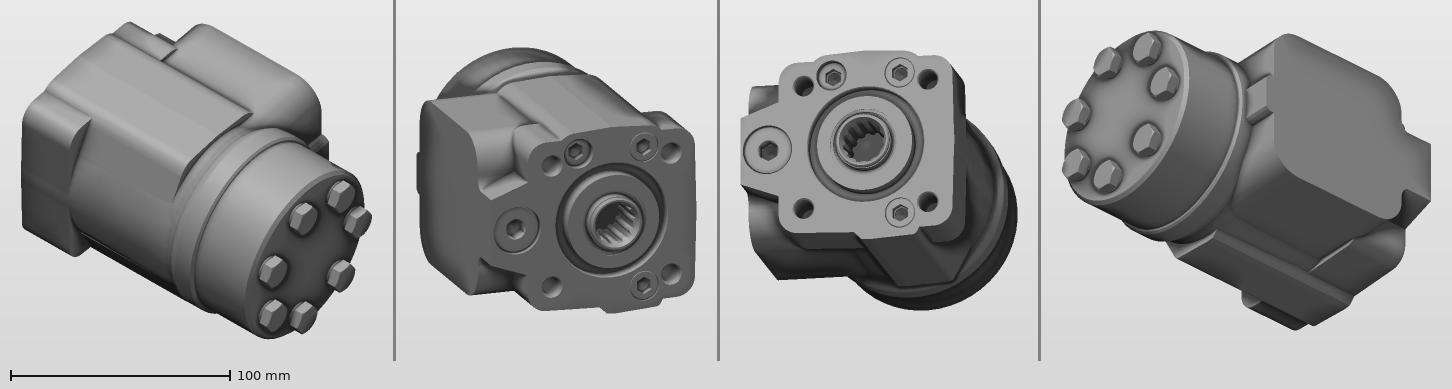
import cadquery as cq
import math

LENGTH = 149.3
RING_FRONT = 5.1
HOUSING_FRONT = 7.6
FLANGE_REAR = 35.8
TOP_PAD_REAR = 90.0
BOTTOM_PAD_REAR = 90.9
NECK_REAR = 94.5
END_FACE = 142.7

BARREL_FRONT_R = 41.3
NECK_R = 42.0
COLLAR_R = 90.0 / 2
STACK_R = 86.0 / 2
END_CHAMFER = 1.6
FLARE_PROFILE = ((NECK_REAR, NECK_R), (97.0, 42.5), (100.6, 44.6), (101.5, COLLAR_R))
COLLAR_BEVEL_FRONT = 110.5
COLLAR_REAR = 111.5
COLLAR_REAR_R = 44.0

OVERALL_Y = 103.5
PORT_FACE_Y = OVERALL_Y - COLLAR_R
BLOCK_FRONT = 25.5
BLOCK_REAR = 103.3
BLOCK_HALF_HEIGHT = 39.0
BLOCK_CORNER_R = 15.0
WEB_TIP_HALF = 15.7
WEB_ROOT_HALF = 22.2
WEB_FILLET_R = 6.0
WEB_FILLET_TOP = 21.0
BOSS_REAR = 107.8
BOSS_UPPER_EDGE = ((NECK_REAR, 10.0), (105.1, 10.0), (106.6, 9.1), (BOSS_REAR, 7.9))

TOP_RIDGE_Z = 44.5
TOP_SLOPE_END = (18.5, 43.3)
TOP_SHOULDER_MID = (23.1, 41.5)
TOP_SHOULDER_END = (26.4, 37.9)
TOP_FLAT_END = (33.6, 24.8)
BOTTOM_FLAT_START = (-32.5, -26.3)
BOTTOM_FLAT_END = (-24.2, -41.6)
BOTTOM_SHOULDER_MID = (-23.1, -43.1)
BOTTOM_SHOULDER_END = (-21.3, -43.7)
BOTTOM_LOW_POINT = (-1.5, -45.0)
BOTTOM_STEP_EDGE = (2.1, -44.6)
BOTTOM_STEP_ROOT = (5.7, -41.0)

FLANGE_LEFT_Y = 40.6
FLANGE_TOP_Z = 40.5
FLANGE_CORNER_R = 9.0
FLANGE_SIDE_Y = 40.5
FLANGE_SIDE_Z = 31.0
FLANGE_BOTTOM_Z = 40.2
FLAT_INNER_Z = 4.3
FLAT_INNER_Y = math.sqrt(BARREL_FRONT_R**2 - FLAT_INNER_Z**2)
FLANGE_LOW_POINT = (6.0, -41.2)

MOUNT_SPACING = 57.9
MOUNT_D = 9.0
MOUNT_RIM_D = 10.3
MOUNT_DEPTH = 17.9
SCREW_SEAT_D = 14.2
SCREW_BEVEL = 0.6
SCREW_SEATS = ((16.0, 33.5, 3.6), (-15.8, 33.1, 0.5), (-16.0, -33.1, 0.5))
SCREW_SOCKET_FLATS = 7.2
SCREW_SOCKET_DEPTH = 3.0
SCREW_DRILL_D = 6.0
SCREW_DRILL_DEPTH = 3.7
PLUG_Y = 45.8
PLUG_SEAT_D = 23.0
PLUG_BEVEL = 0.9
PLUG_RECESS = 1.8
PLUG_SOCKET_FLATS = 8.4
PLUG_SOCKET_DEPTH = 6.0
PLUG_DRILL_RIM_D = 9.9
DRILL_POINT_ANGLE = 118.0
MOUNT_POINT_ANGLE = 140.0
FLAT_END = 180.0

RECESS_D = 54.0
RECESS_RIM_D = 55.0
RECESS_DEPTH = 5.1
RING_D = 44.3
RING_BORE_STEPS = ((32.2, 0.5), (29.5, 1.2), (27.3, 2.0))
SLEEVE_D = 25.4
SLEEVE_NOSE_D = 24.8
SLEEVE_NOSE_LENGTH = 2.2
SLEEVE_CHAMFER = 0.6
SLEEVE_LENGTH = 32.8
LEAD_IN_D = 22.0
LEAD_IN_LENGTH = 3.9
SPLINE_ROOT_D = 19.7
SPLINE_TIP_D = 17.6
SPLINE_DEPTH = 23.9
TOOTH_COUNT = 12
TOOTH_ROOT_WIDTH = 3.6
TOOTH_TIP_ROUND = 0.3
TOOTH_TIP_WIDTH = 2.2

BOLT_COUNT = 7
BOLT_CIRCLE_R = 32.1
BOLT_HEAD_FLATS = 13.0
BOLT_HEAD_FRONT = 144.5
BOLT_HEAD_CHAMFER = 0.6
WASHER_D = 12.5
WASHER_REAR = 143.6
SHANK_D = 12.0


def section(x):
    """Workplane across the main axis at station x, with local axes Y and Z."""
    return cq.Workplane("YZ", origin=(x, 0, 0))


def turned(points):
    """Solid of revolution about the main axis from (x, radius) points."""
    return cq.Workplane("XY").polyline(points).close().revolve(360, (0, 0, 0), (1, 0, 0))


def drilled_hole(x, y, z, rim_d, hole_d, depth, point_angle=DRILL_POINT_ANGLE):
    """Cutter for a chamfered hole that starts at station x; a point angle of 180 leaves a flat end."""
    rim_r = rim_d / 2
    hole_r = hole_d / 2
    chamfer = rim_r - hole_r
    point = hole_r / math.tan(math.radians(point_angle / 2))
    outline = [(x, 0), (x, rim_r)]
    if chamfer > 0:
        outline.append((x + chamfer, hole_r))
    outline += [(x + depth, hole_r), (x + depth + point, 0)]
    return turned(outline).translate((0, y, z))


def plug_seat(y, z, seat_d, depth, bevel):
    """Cutter for a recess in the front face whose floor is bevelled around its edge."""
    floor = HOUSING_FRONT + depth
    r = seat_d / 2
    outline = [(HOUSING_FRONT, 0), (HOUSING_FRONT, r), (floor + bevel, r), (floor, r - bevel), (floor, 0)]
    return turned(outline).translate((0, y, z))


def hex_socket(x, y, z, flats, depth):
    """Cutter for a hexagon socket with two corners along Z."""
    across_corners = flats / math.cos(math.pi / 6)
    hexagon = section(x).polygon(6, across_corners).extrude(depth)
    return hexagon.rotate((0, 0, 0), (1, 0, 0), 90).translate((0, y, z))


def round_body():
    """Barrel, neck, flared collar and motor stack as one turned shape."""
    return turned([
        (HOUSING_FRONT, 0),
        (HOUSING_FRONT, BARREL_FRONT_R),
        (FLANGE_REAR, BARREL_FRONT_R),
        *FLARE_PROFILE,
        (COLLAR_BEVEL_FRONT, COLLAR_R),
        (COLLAR_REAR, COLLAR_REAR_R),
        (COLLAR_REAR, STACK_R),
        (END_FACE - END_CHAMFER, STACK_R),
        (END_FACE, STACK_R - END_CHAMFER),
        (END_FACE, 0),
    ])


def flange():
    """Square mounting flange with rounded corners and slightly tapered -Y side."""
    r = FLANGE_CORNER_R
    b = r * (1 - math.sqrt(0.5))
    left, top, side, bottom = FLANGE_LEFT_Y, FLANGE_TOP_Z, -FLANGE_SIDE_Y, -FLANGE_BOTTOM_Z
    return (
        section(HOUSING_FRONT)
        .moveTo(left - r, top)
        .lineTo(side + r, top)
        .threePointArc((side + b, top - b), (side, FLANGE_SIDE_Z))
        .lineTo(-FLAT_INNER_Y, FLAT_INNER_Z)
        .lineTo(-FLAT_INNER_Y, -FLAT_INNER_Z)
        .lineTo(side, -FLANGE_SIDE_Z)
        .threePointArc((side + b, bottom + b), (side + r, bottom))
        .lineTo(*FLANGE_LOW_POINT)
        .lineTo(left - r, bottom)
        .threePointArc((left - b, bottom + b), (left, bottom + r))
        .lineTo(left, top - r)
        .threePointArc((left - b, top - b), (left - r, top))
        .close()
        .extrude(FLANGE_REAR - HOUSING_FRONT)
    )


def mirrored(point):
    """The (Y, Z) point on the other side of the XZ plane."""
    y, z = point
    return (-y, z)


def top_pad():
    """Roof-shaped pad with rounded shoulders along the top of the barrel."""
    return (
        section(HOUSING_FRONT)
        .moveTo(0, TOP_RIDGE_Z)
        .lineTo(*TOP_SLOPE_END)
        .threePointArc(TOP_SHOULDER_MID, TOP_SHOULDER_END)
        .lineTo(*TOP_FLAT_END)
        .lineTo(*mirrored(TOP_FLAT_END))
        .lineTo(*mirrored(TOP_SHOULDER_END))
        .threePointArc(mirrored(TOP_SHOULDER_MID), mirrored(TOP_SLOPE_END))
        .close()
        .extrude(TOP_PAD_REAR - HOUSING_FRONT)
    )


def bottom_pad():
    """Pad along the underside of the barrel, sloped up to the -Y side."""
    return (
        section(HOUSING_FRONT)
        .moveTo(*BOTTOM_FLAT_START)
        .lineTo(*BOTTOM_FLAT_END)
        .threePointArc(BOTTOM_SHOULDER_MID, BOTTOM_SHOULDER_END)
        .lineTo(*BOTTOM_LOW_POINT)
        .lineTo(*BOTTOM_STEP_EDGE)
        .lineTo(*BOTTOM_STEP_ROOT)
        .lineTo(BOTTOM_STEP_ROOT[0], BOTTOM_FLAT_START[1])
        .close()
        .extrude(BOTTOM_PAD_REAR - HOUSING_FRONT)
    )


def port_block():
    """Rounded block on the +Y side that carries the ports."""
    return (
        cq.Workplane("XY")
        .box(BLOCK_REAR - BLOCK_FRONT, PORT_FACE_Y, 2 * BLOCK_HALF_HEIGHT, centered=(False, False, True))
        .translate((BLOCK_FRONT, 0, 0))
        .edges("|Y")
        .fillet(BLOCK_CORNER_R)
    )


def front_web():
    """Tapered web from the flange to the port block, with a concave fillet at the block."""
    wedge = (
        section(HOUSING_FRONT)
        .polyline([
            (0, WEB_ROOT_HALF),
            (FLANGE_LEFT_Y, WEB_ROOT_HALF),
            (PORT_FACE_Y, WEB_TIP_HALF),
            (PORT_FACE_Y, -WEB_TIP_HALF),
            (FLANGE_LEFT_Y, -WEB_ROOT_HALF),
            (0, -WEB_ROOT_HALF),
        ])
        .close()
        .extrude(BLOCK_FRONT - HOUSING_FRONT)
    )
    fillet_front = BLOCK_FRONT - WEB_FILLET_R
    root = (
        cq.Workplane("XY")
        .box(WEB_FILLET_R, PORT_FACE_Y, 2 * WEB_FILLET_TOP, centered=(False, False, True))
        .translate((fillet_front, 0, 0))
    )
    for side in (1, -1):
        hollow = (
            cq.Workplane("XZ", origin=(fillet_front, 0, side * WEB_FILLET_TOP))
            .circle(WEB_FILLET_R)
            .extrude(-PORT_FACE_Y)
        )
        root = root.cut(hollow)
    return wedge.union(root)


def rear_boss():
    """Low bevelled boss on the rear of the port block, above the collar."""
    lower_edge = [(x, -z) for x, z in reversed(BOSS_UPPER_EDGE)]
    return cq.Workplane("XZ").polyline([*BOSS_UPPER_EDGE, *lower_edge]).close().extrude(-PORT_FACE_Y)


def bolt_head():
    """Hexagon head on its washer and shank, with two corners along Y, centred on the main axis."""
    across_corners = BOLT_HEAD_FLATS / math.cos(math.pi / 6)
    washer = section(END_FACE).circle(WASHER_D / 2).extrude(WASHER_REAR - END_FACE)
    shank = section(WASHER_REAR).circle(SHANK_D / 2).extrude(BOLT_HEAD_FRONT - WASHER_REAR)
    head = section(BOLT_HEAD_FRONT).polygon(6, across_corners).extrude(LENGTH - BOLT_HEAD_FRONT)
    corner_bevel = turned([
        (BOLT_HEAD_FRONT, 0),
        (BOLT_HEAD_FRONT, across_corners / 2),
        (LENGTH - BOLT_HEAD_CHAMFER, across_corners / 2),
        (LENGTH, BOLT_HEAD_FLATS / 2),
        (LENGTH, 0),
    ])
    return washer.union(shank).union(head.intersect(corner_bevel))


def make_housing():
    housing = round_body()
    for part in (flange(), top_pad(), bottom_pad(), port_block(), front_web(), rear_boss()):
        housing = housing.union(part)

    for i in range(BOLT_COUNT):
        angle = 2 * math.pi * i / BOLT_COUNT
        y = BOLT_CIRCLE_R * math.cos(angle)
        z = BOLT_CIRCLE_R * math.sin(angle)
        housing = housing.union(bolt_head().translate((0, y, z)))

    half = MOUNT_SPACING / 2
    for y in (half, -half):
        for z in (half, -half):
            hole = drilled_hole(HOUSING_FRONT, y, z, MOUNT_RIM_D, MOUNT_D, MOUNT_DEPTH, MOUNT_POINT_ANGLE)
            housing = housing.cut(hole)

    for y, z, depth in SCREW_SEATS:
        floor = HOUSING_FRONT + depth
        seat = plug_seat(y, z, SCREW_SEAT_D, depth, SCREW_BEVEL)
        socket = hex_socket(floor, y, z, SCREW_SOCKET_FLATS, SCREW_SOCKET_DEPTH)
        drill = drilled_hole(floor, y, z, SCREW_DRILL_D, SCREW_DRILL_D, SCREW_DRILL_DEPTH)
        housing = housing.cut(seat).cut(socket).cut(drill)

    floor = HOUSING_FRONT + PLUG_RECESS
    seat = plug_seat(PLUG_Y, 0, PLUG_SEAT_D, PLUG_RECESS, PLUG_BEVEL)
    socket = hex_socket(floor, PLUG_Y, 0, PLUG_SOCKET_FLATS, PLUG_SOCKET_DEPTH)
    drill = drilled_hole(floor, PLUG_Y, 0, PLUG_DRILL_RIM_D, PLUG_SOCKET_FLATS, PLUG_SOCKET_DEPTH)
    housing = housing.cut(seat).cut(socket).cut(drill)

    ring_recess = drilled_hole(HOUSING_FRONT, 0, 0, RECESS_RIM_D, RECESS_D, RECESS_DEPTH, FLAT_END)
    pilot = section(HOUSING_FRONT).circle(RING_D / 2).extrude(RECESS_DEPTH)
    sleeve_bore = section(0).circle(SLEEVE_D / 2).extrude(SLEEVE_LENGTH)
    return housing.cut(ring_recess.cut(pilot)).cut(sleeve_bore)


def make_seal_ring():
    """Ring on the front pilot, with a stepped bore that narrows to the sleeve."""
    ring = section(RING_FRONT).circle(RING_D / 2).extrude(HOUSING_FRONT - RING_FRONT)
    for diameter, depth in RING_BORE_STEPS:
        ring = ring.cut(section(RING_FRONT).circle(diameter / 2).extrude(depth))
    bore = section(RING_FRONT).circle(SLEEVE_D / 2).extrude(HOUSING_FRONT - RING_FRONT)
    return ring.cut(bore)


def spline_tooth():
    """One inward tooth on the +Y side, rooted in the bore wall and rounded at its tip."""
    root_half = TOOTH_ROOT_WIDTH / 2
    tip_half = TOOTH_TIP_WIDTH / 2
    root_y = SPLINE_ROOT_D / 2 + TOOTH_TIP_ROUND
    tip_y = SPLINE_TIP_D / 2
    shoulder_y = tip_y + TOOTH_TIP_ROUND
    return (
        section(0)
        .moveTo(root_y, root_half)
        .lineTo(shoulder_y, tip_half)
        .threePointArc((tip_y, 0), (shoulder_y, -tip_half))
        .lineTo(root_y, -root_half)
        .close()
        .extrude(SPLINE_DEPTH)
    )


def make_sleeve():
    """Stepped sleeve with an internal spline behind a conical lead-in."""
    outer_r = SLEEVE_D / 2
    nose_r = SLEEVE_NOSE_D / 2
    sleeve = turned([
        (0, 0),
        (0, nose_r - SLEEVE_CHAMFER),
        (SLEEVE_CHAMFER, nose_r),
        (SLEEVE_NOSE_LENGTH, nose_r),
        (SLEEVE_NOSE_LENGTH, outer_r),
        (SLEEVE_LENGTH, outer_r),
        (SLEEVE_LENGTH, 0),
    ])
    sleeve = sleeve.cut(section(0).circle(SPLINE_ROOT_D / 2).extrude(SPLINE_DEPTH))
    for i in range(TOOTH_COUNT):
        sleeve = sleeve.union(spline_tooth().rotate((0, 0, 0), (1, 0, 0), i * 360 / TOOTH_COUNT))
    lead_in = turned([
        (0, 0),
        (0, LEAD_IN_D / 2),
        (LEAD_IN_LENGTH, SPLINE_TIP_D / 2),
        (LEAD_IN_LENGTH, 0),
    ])
    return sleeve.cut(lead_in)


housing = make_housing()
seal_ring = make_seal_ring()
sleeve = make_sleeve()

result = cq.Compound.makeCompound([housing.val(), seal_ring.val(), sleeve.val()])